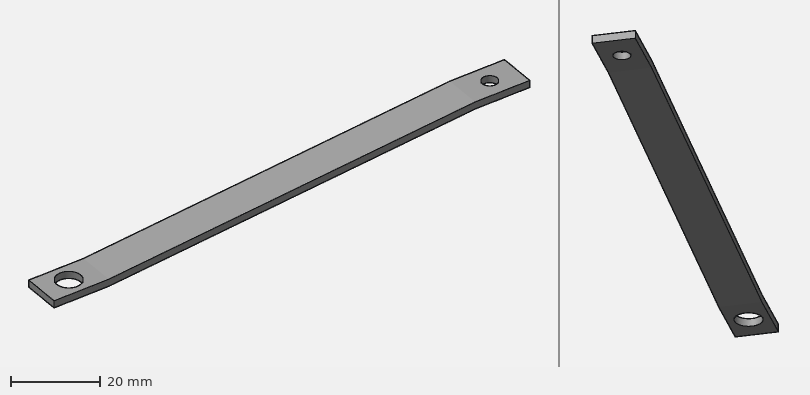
import cadquery as cq

length = 130.0
width = 10.0
height = 10.8
thickness = 2.0
end_length = 15.0
small_hole_diameter = 4.0
large_hole_diameter = 6.5

half_length = length / 2
bend_y = half_length - end_length
rise = height - thickness
hole_y = half_length - end_length / 2


def make_strip():
    """Two level ends joined by a straight slope, extruded across the width."""
    lower_edge = [(-half_length, 0), (-bend_y, 0), (bend_y, rise), (half_length, rise)]
    upper_edge = [(y, z + thickness) for y, z in reversed(lower_edge)]
    return (
        cq.Workplane("YZ")
        .polyline(lower_edge + upper_edge)
        .close()
        .extrude(width / 2, both=True)
    )


def hole_cutter(y, diameter):
    """Vertical cylinder on the strip's centreline, taller than the whole part."""
    return cq.Workplane("XY").center(0, y).circle(diameter / 2).extrude(2 * height, both=True)


result = (
    make_strip()
    .cut(hole_cutter(hole_y, small_hole_diameter))
    .cut(hole_cutter(-hole_y, large_hole_diameter))
)